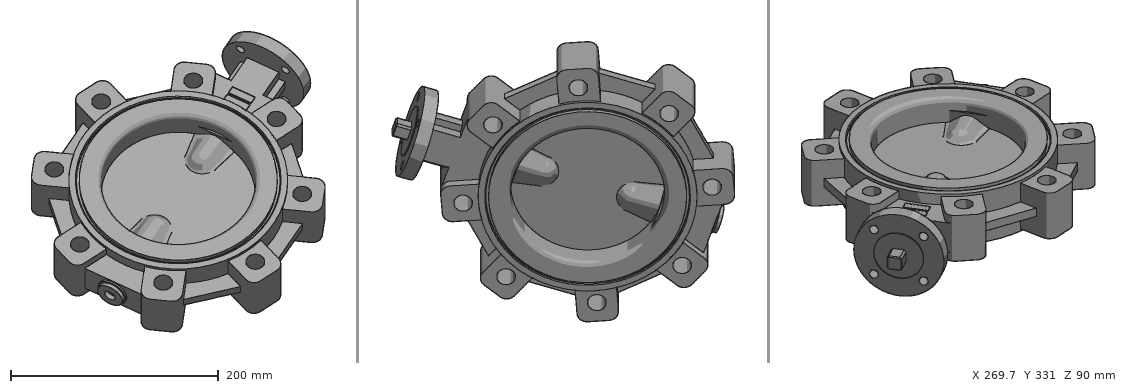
import cadquery as cq
import math


total_length = 331

body_radius = 105.2
body_height = 56.5
seat_bore_radius = 98.0
seat_bore_chamfer = 1.0

liner_radius = 95.3
liner_height = 58.5
groove_depth = 4.3
bore_radius = 74.0
bore_rounding = 6.0

lug_count = 8
lug_pitch = 360 / lug_count
bolt_circle_radius = 120.0
bolt_hole_diameter = 18.0
lug_reach = 141.0
lug_width = 40.0
lug_height = 51.0
lug_corner_radius = 10.0

rib_apothem = 121.0
rib_thickness = 9.3

housing_thickness = 32.8
top_housing_width = 78.7
top_housing_end = 134.5
bottom_housing_width = 62.2
bottom_housing_end = 127.7

neck_width = 35.0
neck_web_width = 49.3
neck_web_thickness = 10.5
label_width = 25.0
label_length = 8.0
label_height = 1.0
label_places = (114.5, 124.5)

flange_radius = 45.0
flange_start = 165.8
flange_face = 179.5
flange_register_radius = 24.8
flange_register_height = 1.0
flange_bolt_circle_radius = 35.0
flange_bolt_hole_diameter = 9.0
flange_bolt_count = 4
stem_width = 15.0
stem_edge_chamfer = 2.0
stem_tip_chamfer = 1.0
lug_angle = math.radians(lug_pitch / 2)
lowest_lug_point = (
    (lug_reach - lug_corner_radius) * math.cos(lug_angle)
    + (lug_width / 2 - lug_corner_radius) * math.sin(lug_angle)
    + lug_corner_radius
)
stem_end = total_length - lowest_lug_point

plug_collar_radius = 15.2
plug_collar_height = 2.0
plug_radius = 13.5
plug_end = 133.5
plug_socket_diameter = 11.5
plug_socket_depth = 5.0

disc_edge_thickness = 6.5
disc_center_thickness = 10.5
hub_radius = 14.0
hub_seat = 71.8
hub_seat_width = 37.0
hub_seat_height = 33.0
hub_dome_center = 45.0
hub_outer_ridge_half_width = 9.3
hub_inner_ridge_half_width = 8.5
hub_outer_foot_half_width = 19.5
hub_inner_foot_half_width = 14.2
hub_foot_blend = 2.5


def cylinder_along_y(radius, start, end):
    return cq.Workplane("XZ", origin=(0, start, 0)).circle(radius).extrude(start - end)


def box_along_y(width, thickness, start, end):
    return cq.Workplane("XY").box(width, end - start, thickness).translate((0, (start + end) / 2, 0))


def make_body_ring():
    chamfer_radius = seat_bore_radius + seat_bore_chamfer
    half = body_height / 2
    groove_floor = liner_height / 2 - groove_depth
    liner_top = liner_height / 2
    rounding_end = liner_top - bore_rounding
    upper_half = (
        cq.Workplane("XZ")
        .moveTo(bore_radius, 0)
        .lineTo(body_radius, 0)
        .lineTo(body_radius, half)
        .lineTo(chamfer_radius, half)
        .lineTo(seat_bore_radius, half - seat_bore_chamfer)
        .lineTo(seat_bore_radius, groove_floor)
        .lineTo(liner_radius, groove_floor)
        .lineTo(liner_radius, liner_top)
        .lineTo(bore_radius + bore_rounding, liner_top)
        .radiusArc((bore_radius, rounding_end), -bore_rounding)
        .close()
        .revolve(360, (0, 0), (0, 1))
    )
    return upper_half.union(upper_half.mirror("XY"))


def make_lugs():
    lug = (
        cq.Workplane("XY")
        .box(lug_reach - seat_bore_radius, lug_width, lug_height)
        .translate(((lug_reach + seat_bore_radius) / 2, 0, 0))
        .edges("|Z and >X")
        .fillet(lug_corner_radius)
    )
    lugs = cq.Workplane("XY")
    for index in range(lug_count):
        lugs = lugs.add(lug.rotate((0, 0, 0), (0, 0, 1), (index + 0.5) * lug_pitch))
    return lugs.combine()


def make_bolt_holes():
    return (
        cq.Workplane("XY")
        .polarArray(bolt_circle_radius, lug_pitch / 2, 360, lug_count)
        .circle(bolt_hole_diameter / 2)
        .extrude(lug_height / 2, both=True)
    )


def make_ribs():
    corner_radius = rib_apothem / math.cos(math.radians(lug_pitch / 2))
    return (
        cq.Workplane("XY")
        .polygon(lug_count, 2 * corner_radius)
        .extrude(rib_thickness / 2, both=True)
        .rotate((0, 0, 0), (0, 0, 1), lug_pitch / 2)
        .cut(cq.Workplane("XY").circle(seat_bore_radius).extrude(rib_thickness, both=True))
    )


def make_housings():
    top = box_along_y(top_housing_width, housing_thickness, seat_bore_radius, top_housing_end)
    bottom = box_along_y(bottom_housing_width, housing_thickness, -bottom_housing_end, -seat_bore_radius)
    bore_clearance = cq.Workplane("XY").circle(seat_bore_radius).extrude(housing_thickness, both=True)
    return top.union(bottom).cut(bore_clearance)


def make_neck():
    neck = box_along_y(neck_width, housing_thickness, top_housing_end, flange_start)
    web = box_along_y(neck_web_width, neck_web_thickness, top_housing_end, flange_start)
    labels = (
        cq.Workplane("XY", origin=(0, 0, housing_thickness / 2))
        .pushPoints([(0, place) for place in label_places])
        .rect(label_width, label_length)
        .extrude(label_height)
    )
    return neck.union(web).union(labels)


def make_flange():
    flange = cylinder_along_y(flange_radius, flange_start, flange_face)
    register = cylinder_along_y(flange_register_radius, flange_face, flange_face + flange_register_height)
    holes = (
        cq.Workplane("XZ", origin=(0, flange_start, 0))
        .polarArray(flange_bolt_circle_radius, 180 / flange_bolt_count, 360, flange_bolt_count)
        .circle(flange_bolt_hole_diameter / 2)
        .extrude(flange_start - flange_face)
    )
    return flange.cut(holes).union(register)


def make_stem():
    return (
        box_along_y(stem_width, stem_width, flange_face, stem_end)
        .edges("|Y")
        .chamfer(stem_edge_chamfer)
        .faces(">Y")
        .chamfer(stem_tip_chamfer)
    )


def make_plug():
    collar_end = -bottom_housing_end - plug_collar_height
    collar = cylinder_along_y(plug_collar_radius, -bottom_housing_end, collar_end)
    head = cylinder_along_y(plug_radius, collar_end, -plug_end)
    socket = cylinder_along_y(plug_socket_diameter / 2, plug_socket_depth - plug_end, -plug_end)
    return collar.union(head).cut(socket)


def disc_half_thickness(radius):
    taper = (disc_center_thickness - disc_edge_thickness) / 2
    return disc_center_thickness / 2 - taper * radius / bore_radius


def make_disc():
    edge = disc_half_thickness(bore_radius)
    center = disc_half_thickness(0)
    return (
        cq.Workplane("XZ")
        .polyline([(0, -center), (bore_radius, -edge), (bore_radius, edge), (0, center)])
        .close()
        .revolve(360, (0, 0), (0, 1))
    )


def hub_quarter_section(place, ridge_half_width, foot_half_width):
    """Quarter of the hub outline: round ridge, sloping flank and a hollow blend into the disc."""
    ridge_height = math.sqrt(hub_radius**2 - ridge_half_width**2)
    foot_height = disc_half_thickness(place)
    slope = math.atan2(ridge_height - foot_height, foot_half_width - ridge_half_width)
    blend_radius = hub_foot_blend / math.tan(slope / 2)
    blend_top = (
        foot_half_width - hub_foot_blend * math.cos(slope),
        foot_height + hub_foot_blend * math.sin(slope),
    )
    blend_end = foot_half_width + hub_foot_blend
    return (
        cq.Workplane("XZ", origin=(0, place, 0))
        .lineTo(blend_end, 0)
        .lineTo(blend_end, foot_height)
        .radiusArc(blend_top, blend_radius)
        .lineTo(ridge_half_width, ridge_height)
        .radiusArc((0, hub_radius), -hub_radius)
        .close()
    )


def make_hub_quarter():
    """Tapered length of the hub, closed at its inner end by the same outline turned into a dome."""
    outer = hub_quarter_section(hub_seat, hub_outer_ridge_half_width, hub_outer_foot_half_width)
    inner = hub_quarter_section(hub_dome_center, hub_inner_ridge_half_width, hub_inner_foot_half_width)
    body = cq.Solid.makeLoft([outer.val(), inner.val()], True)
    dome = inner.revolve(90, (0, 0), (0, -1))
    return dome.union(cq.Workplane(body))


def make_hubs():
    hubs = make_hub_quarter()
    for plane in ("YZ", "XY", "XZ"):
        hubs = hubs.union(hubs.mirror(plane), clean=False)
    return hubs


def make_hub_seats():
    """Flat pads on the bore wall where the shaft passes through the liner."""
    pads = box_along_y(hub_seat_width, hub_seat_height, hub_seat, seat_bore_radius)
    pads = pads.union(pads.mirror("XZ"))
    return pads.intersect(cq.Workplane("XY").circle(seat_bore_radius).extrude(hub_seat_height, both=True))


result = (
    make_body_ring()
    .union(make_lugs())
    .union(make_ribs())
    .union(make_housings())
    .cut(make_bolt_holes())
    .union(make_neck())
    .union(make_flange())
    .union(make_stem())
    .union(make_plug())
    .union(make_disc())
    .union(make_hub_seats())
    .union(make_hubs(), clean=False)
)